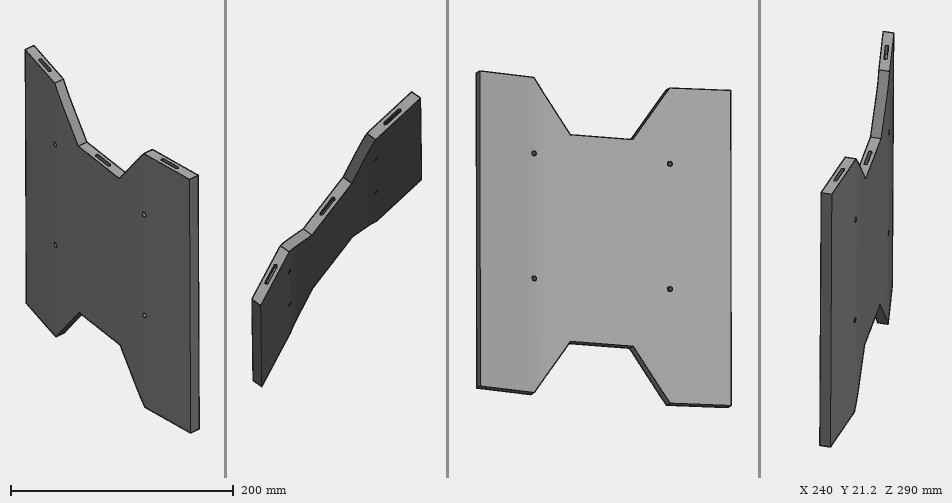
import cadquery as cq
import math

overall_height = 290.0
width = 240.0
thickness = 10.0
lean_angle = 0.25

flat_half_width = 52.5
bend_angle = 9.5
bend_outer_radius = 100.0
bend_inner_radius = bend_outer_radius - thickness

notch_depth = 50.0
notch_floor_half_width = 30.0
notch_mouth_half_width = 65.0

pin_hole_diameter = 4.4
pin_hole_x = notch_mouth_half_width
pin_hole_heights = (75.0, -40.0)

slot_length = 20.0
slot_width = 3.0
slot_depth = 10.0
wing_slot_x = 91.0

half_width = width / 2
bend_radians = math.radians(bend_angle)
bend_center_y = bend_outer_radius


def bend_point(radius, angle):
    """Point on the right-hand bend, with the angle measured from the flat middle."""
    return (
        flat_half_width + radius * math.sin(angle),
        bend_center_y - radius * math.cos(angle),
    )


def wing_y(radius, x):
    """Y of the wing face that leaves the bend of the given radius."""
    start_x, start_y = bend_point(radius, bend_radians)
    return start_y + (x - start_x) * math.tan(bend_radians)


lean_radians = math.radians(lean_angle)
plate_depth = wing_y(bend_inner_radius, half_width)
plate_height = (overall_height - plate_depth * math.sin(lean_radians)) / math.cos(lean_radians)
half_height = plate_height / 2


def mirrored(point):
    return (-point[0], point[1])


def bent_plate():
    """Plate of constant thickness whose wings lean back and end square to X."""
    outer_start, outer_middle, outer_end = (
        bend_point(bend_outer_radius, bend_radians * share) for share in (0, 0.5, 1)
    )
    inner_start, inner_middle, inner_end = (
        bend_point(bend_inner_radius, bend_radians * share) for share in (0, 0.5, 1)
    )
    outer_tip = (half_width, wing_y(bend_outer_radius, half_width))
    inner_tip = (half_width, plate_depth)
    return (
        cq.Workplane("XY", origin=(0, 0, -half_height))
        .moveTo(*mirrored(outer_start))
        .lineTo(*outer_start)
        .threePointArc(outer_middle, outer_end)
        .lineTo(*outer_tip)
        .lineTo(*inner_tip)
        .lineTo(*inner_end)
        .threePointArc(inner_middle, inner_start)
        .lineTo(*mirrored(inner_start))
        .threePointArc(mirrored(inner_middle), mirrored(inner_end))
        .lineTo(*mirrored(inner_tip))
        .lineTo(*mirrored(outer_tip))
        .lineTo(*mirrored(outer_end))
        .threePointArc(mirrored(outer_middle), mirrored(outer_start))
        .close()
        .extrude(plate_height)
    )


def notch(side):
    """Notch cutter for the top (side = 1) or bottom (side = -1) edge."""
    edge_z = side * half_height
    floor_z = side * (half_height - notch_depth)
    return (
        cq.Workplane("XZ")
        .polyline([
            (-notch_mouth_half_width, edge_z),
            (-notch_floor_half_width, floor_z),
            (notch_floor_half_width, floor_z),
            (notch_mouth_half_width, edge_z),
        ])
        .close()
        .extrude(width, both=True)
    )


def pin_holes():
    return (
        cq.Workplane("XZ")
        .pushPoints([(side * pin_hole_x, z) for side in (-1, 1) for z in pin_hole_heights])
        .circle(pin_hole_diameter / 2)
        .extrude(width, both=True)
    )


def edge_slot(x, y, edge_z, angle):
    """Slot cutter sunk into an upward-facing edge, turned to follow the plate."""
    return (
        cq.Workplane("XY", origin=(x, y, edge_z))
        .slot2D(slot_length, slot_width, angle)
        .extrude(-slot_depth)
    )


result = bent_plate()
for side in (-1, 1):
    result = result.cut(notch(side))
result = result.cut(pin_holes())

result = result.cut(edge_slot(0, thickness / 2, half_height - notch_depth, 0))
wing_slot_y = (wing_y(bend_outer_radius, wing_slot_x) + wing_y(bend_inner_radius, wing_slot_x)) / 2
for side in (-1, 1):
    result = result.cut(edge_slot(side * wing_slot_x, wing_slot_y, half_height, side * bend_angle))

result = result.rotate((0, 0, 0), (1, 0, 0), lean_angle)